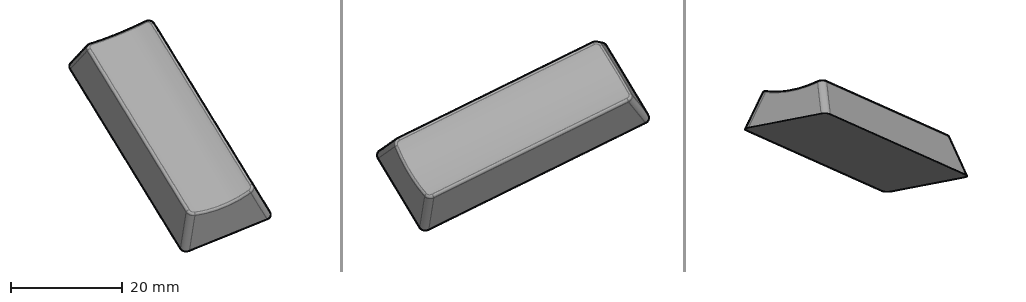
import cadquery as cq

length = 46.6
width = 18.0

blank_height = 7.9
wall_angle = 18.0
corner_radius = 1.25

dish_floor = 6.4
dish_radius = 19.55

rim_radius = 0.5


def tapered_body():
    """Rectangular block whose four walls lean inwards and meet in rounded corners."""
    blank = cq.Workplane("XY").rect(length, width).extrude(blank_height, taper=wall_angle)
    slanted_corners = blank.edges("not(#Z or |X or |Y)")
    return slanted_corners.fillet(corner_radius)


def dish_cutter():
    """Cylinder along X that hollows the top of the body."""
    dish_axis_height = dish_floor + dish_radius
    return (
        cq.Workplane("YZ")
        .center(0, dish_axis_height)
        .circle(dish_radius)
        .extrude(length / 2, both=True)
    )


def round_rim(dished_body):
    """Round the outline of the dish, the face that lies over the middle of the body."""
    dish_face = dished_body.faces(cq.NearestToPointSelector((0, 0, dish_floor)))
    return dish_face.edges().fillet(rim_radius)


result = round_rim(tapered_body().cut(dish_cutter()))